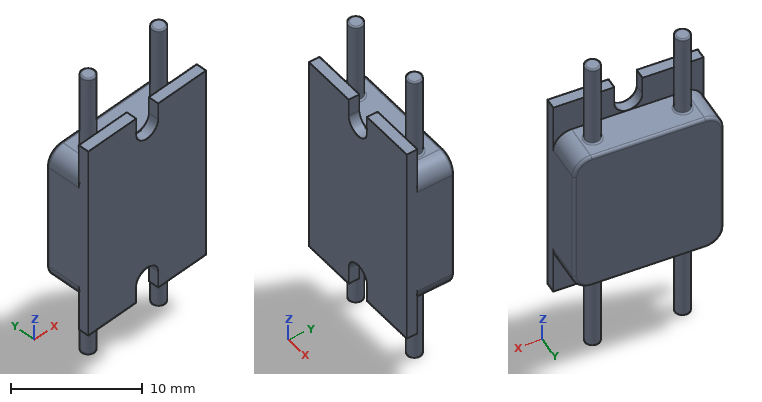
import cadquery as cq
import math

width = 12.7
plate_height = 19.05
plate_thickness = 1.0
slot_width = 2.37
slot_depth = 2.83

total_depth = 4.45
body_height = 13.33
body_corner_radius = 1.55
rim_fillet = 0.25

pin_span = 28.6
pin_diameter = 1.32
pin_spacing = 7.6
pin_y = 2.55
pin_tip_fillet = 0.15
root_fillet = 0.15


def make_plate():
    plate = cq.Workplane("XY").box(
        width, plate_thickness, plate_height, centered=(True, False, True)
    )
    slots = (
        cq.Workplane("XZ")
        .pushPoints([(0, -plate_height / 2), (0, plate_height / 2)])
        .slot2D(2 * slot_depth, slot_width, 90)
        .extrude(-plate_thickness)
    )
    return plate.cut(slots)


def make_body():
    return (
        cq.Workplane("XZ", origin=(0, plate_thickness, 0))
        .rect(width, body_height)
        .extrude(-(total_depth - plate_thickness))
        .edges("|Y")
        .fillet(body_corner_radius)
        .faces(">Y")
        .edges()
        .fillet(rim_fillet)
    )


def make_pin(x):
    """Round bar along Z through the housing, with rounded tips."""
    return (
        cq.Workplane("XY", origin=(x, pin_y, -pin_span / 2))
        .circle(pin_diameter / 2)
        .extrude(pin_span)
        .edges("%CIRCLE")
        .fillet(pin_tip_fillet)
    )


def make_root_flares(x):
    """Concave flares that blend a pin into both end faces of the housing."""
    pin_radius = pin_diameter / 2
    flare_radius = pin_radius + root_fillet
    face_z = body_height / 2
    flare_top_z = face_z + root_fillet
    arc_offset = root_fillet * (1 - math.sqrt(0.5))
    flare = (
        cq.Workplane("XZ")
        .moveTo(0, 0)
        .lineTo(flare_radius, 0)
        .lineTo(flare_radius, face_z)
        .threePointArc((pin_radius + arc_offset, face_z + arc_offset), (pin_radius, flare_top_z))
        .lineTo(0, flare_top_z)
        .close()
        .revolve(360, (0, 0), (0, 1))
    )
    return flare.union(flare.mirror("XY")).translate((x, pin_y, 0))


result = make_plate().union(make_body())
for pin_x in (-pin_spacing / 2, pin_spacing / 2):
    result = result.union(make_pin(pin_x)).union(make_root_flares(pin_x))